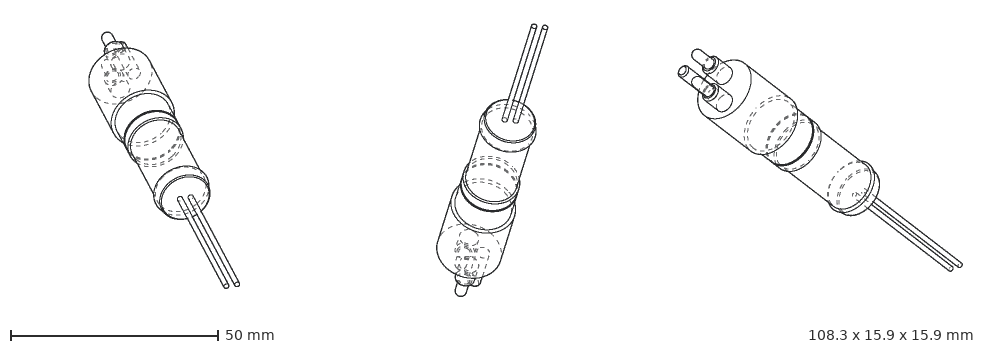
import cadquery as cq

TOTAL_LENGTH = 108.3

BODY_START = 12.6
BODY_END = 31.8
BODY_DIAMETER = 15.9
SLEEVE_END = 42.9
SLEEVE_DIAMETER = 14.0
BARREL_DIAMETER = 12.7
BARREL_END = 68.3

GROOVE_START = 39.5
GROOVE_WIDTH = 0.3
GROOVE_DEPTH = 0.16

COLLAR_START = 64.4
COLLAR_PEAK = 65.0
COLLAR_SHOULDER = 66.6
COLLAR_SHOULDER_DIAMETER = 12.9
END_CHAMFER = 0.3

PIN_SPACING = 7.9
PIN_DIAMETER = 2.8
PIN_BASE_DIAMETER = 4.8
PIN_BASE_START = 6.3
PIN_BASE_CHAMFER = 0.5

GUIDE_OFFSET = 3.5
GUIDE_DIAMETER = 3.1
GUIDE_CHAMFER = 0.4

WIRE_DIAMETER = 1.3
WIRE_SPACING = 2.7


def cylinder(start, end, diameter, y=0, z=0):
    """Cylinder along X between two positions."""
    plane = cq.Workplane("YZ", origin=(start, y, z))
    return plane.circle(diameter / 2).extrude(end - start)


def revolve_about_x(profile):
    """Turn a closed half profile about the X axis."""
    return profile.close().revolve(360, (0, 0, 0), (1, 0, 0))


def make_body():
    sleeve_radius = SLEEVE_DIAMETER / 2
    barrel_radius = BARREL_DIAMETER / 2
    groove_radius = sleeve_radius - GROOVE_DEPTH
    groove_end = GROOVE_START + GROOVE_WIDTH
    return revolve_about_x(
        cq.Workplane("XY")
        .moveTo(BODY_START, 0)
        .lineTo(BODY_START, BODY_DIAMETER / 2)
        .lineTo(BODY_END, BODY_DIAMETER / 2)
        .lineTo(BODY_END, sleeve_radius)
        .lineTo(GROOVE_START, sleeve_radius)
        .lineTo(GROOVE_START, groove_radius)
        .lineTo(groove_end, groove_radius)
        .lineTo(groove_end, sleeve_radius)
        .lineTo(SLEEVE_END, sleeve_radius)
        .lineTo(SLEEVE_END, barrel_radius)
        .lineTo(COLLAR_START, barrel_radius)
        .lineTo(COLLAR_PEAK, sleeve_radius)
        .lineTo(COLLAR_SHOULDER, COLLAR_SHOULDER_DIAMETER / 2)
        .lineTo(BARREL_END - END_CHAMFER, barrel_radius)
        .lineTo(BARREL_END, barrel_radius - END_CHAMFER)
        .lineTo(BARREL_END, 0)
    )


def make_contact_pin():
    """Contact pin on the X axis with a hemispherical tip and a chamfered base."""
    base = cylinder(PIN_BASE_START, BODY_START, PIN_BASE_DIAMETER)
    base = base.faces("<X").chamfer(PIN_BASE_CHAMFER)
    tip_radius = PIN_DIAMETER / 2
    pin = cylinder(tip_radius, BODY_START, PIN_DIAMETER)
    tip = cq.Workplane("XY", origin=(tip_radius, 0, 0)).sphere(tip_radius)
    return base.union(pin).union(tip)


result = make_body()

contact_pin = make_contact_pin()
for side in (-1, 1):
    result = result.union(contact_pin.translate((0, 0, side * PIN_SPACING / 2)))
    wire = cylinder(BARREL_END, TOTAL_LENGTH, WIRE_DIAMETER, y=side * WIRE_SPACING / 2)
    result = result.union(wire)

guide_pin = cylinder(0, BODY_START, GUIDE_DIAMETER, y=GUIDE_OFFSET)
result = result.union(guide_pin.faces("<X").chamfer(GUIDE_CHAMFER))